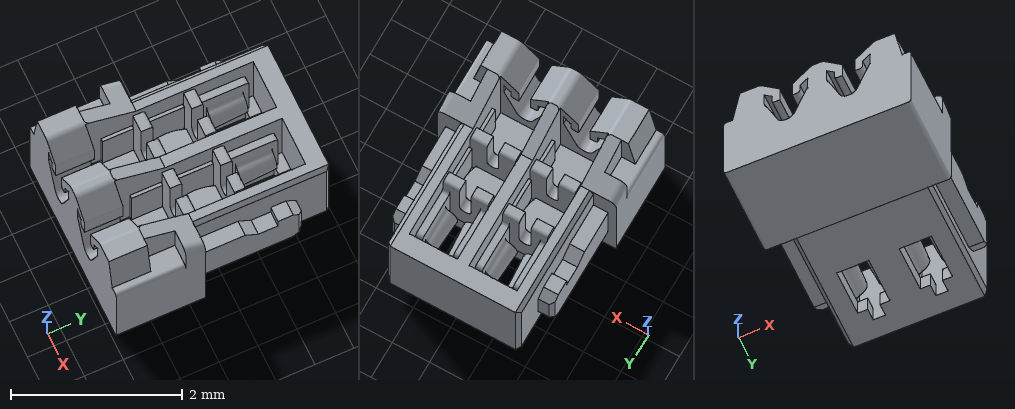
import cadquery as cq
import math


PITCH = 0.8
CONTACT_X = [-PITCH / 2, PITCH / 2]

HEAD_WIDTH = 2.4
HEAD_DEPTH = 1.148
HEAD_HEIGHT = 1.7
HOOD_DEPTH = 0.495
BOTTOM_ROUND = 0.05
WING_ROUND = 0.105
WING_FRONT = 0.893
SHOULDER_Z = 1.148
SHOULDER_ROUND = 0.05
WAIST_HALF = 0.9
FLANK_TOP_HALF = 0.992
FLANK_BOTTOM_HALF = 1.085

LENGTH = 2.9
NOSE_WIDTH = 1.784
NOSE_BOTTOM = 0.24
NOSE_TOP = 1.46
NOSE_CHAMFER = 0.052

RAIL_HALF = 1.09
RAIL_END = 2.453
RAIL_BOTTOM = 0.447
RAIL_TOP = 1.055
RAIL_CORNER_Y = 0.128
RAIL_CORNER_Z = 0.102
RAIL_END_CHAMFER = 0.052
NOTCH_BACK = 2.13
NOTCH_FLOOR_FRONT = 1.875
NOTCH_FRONT = 1.708
NOTCH_Z = 0.93

CAVITY_HALF = 0.322
CAVITY_END = 2.654
CAVITY_FLOOR = 0.5
LEDGE_HALF = 0.278
LEDGE_TOP = 1.102
LEDGE_FRONT = 0.695
PIN_HOLE_HALF = 0.205
PIN_HOLE_END = 2.497
PIN_SLOT_HALF = 0.078

FUNNEL_HALF = 0.33
FUNNEL_ROUND = 0.1
THROAT_HALF = 0.078
THROAT_ROUND = 0.025
THROAT_Z = HEAD_HEIGHT - (FUNNEL_HALF - THROAT_HALF)
LIP_HALF = 0.18
LIP_BOTTOM = 1.192
LIP_ROUND = 0.044
LIP_TOP = 1.343
ENTRY_HALF = 0.278
ENTRY_SIDE_Z = 1.235
ENTRY_BOTTOM = 0.69
ENTRY_RADIUS = 0.11

PLATE_HALF = 0.302
FRONT_PLATE_Y = 1.095
FRONT_PLATE_END = 1.253
FRONT_PLATE_TOP = 1.41
REAR_PLATE_Y = 1.75
REAR_PLATE_END = 1.9
REAR_PLATE_TOP = 1.45
PLATE_ROUND = 0.05
WIRE_SLOT_HALF = 0.078
WIRE_SLOT_BOTTOM = 0.855
BASE_THICKNESS = 0.1
BASE_END_HALF = 0.223
BASE_MIDDLE_HALF = 0.27
ARM_INNER_HALF = PIN_HOLE_HALF
ARM_END = 2.545
ARM_TOP = 1.2
ARM_END_ROUND = 0.058

BULGE_FRONT = 2.0
BULGE_END = 2.47
BULGE_Z = 0.755
BULGE_BEND_HALF = 0.162
BULGE_BEND_HEIGHT = 0.175
BULGE_FOOT_HEIGHT = 0.25
BULGE_FRONT_TIP = 0.044
BULGE_END_TIP = 0.072

TINY = 0.003


def block(x0, x1, y0, y1, z0, z1):
    return cq.Workplane("XY").box(x1 - x0, y1 - y0, z1 - z0, centered=False).translate((x0, y0, z0))


def on_both_sides(shape):
    return shape.union(shape.mirror("YZ"))


def along_y(outline, y0, y1):
    """Extrude a closed outline of the XZ plane from y0 to y1."""
    return outline.extrude(-(y1 - y0)).translate((0, y0, 0))


def edges_along_y(x, z):
    """Selector for the edges parallel to Y that pass through (x, z)."""
    return cq.selectors.BoxSelector((x - TINY, -LENGTH, z - TINY), (x + TINY, LENGTH, z + TINY))



def funnel(x):
    """Wire funnel with 45 degree sides, running down to the lips' lower edges."""
    outline = (
        cq.Workplane("XZ")
        .moveTo(x - FUNNEL_HALF, HEAD_HEIGHT)
        .lineTo(x - THROAT_HALF, THROAT_Z)
        .lineTo(x - THROAT_HALF, LIP_BOTTOM)
        .lineTo(x + THROAT_HALF, LIP_BOTTOM)
        .lineTo(x + THROAT_HALF, THROAT_Z)
        .lineTo(x + FUNNEL_HALF, HEAD_HEIGHT)
        .close()
    )
    return along_y(outline, 0, HEAD_DEPTH)


def wire_entry(x):
    """Pointed opening through the hood that leaves a hooked lip on each side of the throat."""
    centre_z = ENTRY_BOTTOM + ENTRY_RADIUS
    rise = ENTRY_SIDE_Z - centre_z
    angle = math.atan2(rise, ENTRY_HALF) - math.acos(ENTRY_RADIUS / math.hypot(ENTRY_HALF, rise))
    tangent_x = ENTRY_RADIUS * math.cos(angle)
    tangent_z = centre_z + ENTRY_RADIUS * math.sin(angle)
    hook_z = LIP_TOP + ENTRY_HALF - LIP_HALF
    outline = (
        cq.Workplane("XZ")
        .moveTo(x - tangent_x, tangent_z)
        .threePointArc((x, ENTRY_BOTTOM), (x + tangent_x, tangent_z))
        .lineTo(x + ENTRY_HALF, ENTRY_SIDE_Z)
        .lineTo(x + ENTRY_HALF, hook_z)
        .lineTo(x + LIP_HALF, LIP_TOP)
        .lineTo(x + LIP_HALF, LIP_BOTTOM)
        .lineTo(x - LIP_HALF, LIP_BOTTOM)
        .lineTo(x - LIP_HALF, LIP_TOP)
        .lineTo(x - ENTRY_HALF, hook_z)
        .lineTo(x - ENTRY_HALF, ENTRY_SIDE_Z)
        .close()
    )
    entry = along_y(outline, 0, HOOD_DEPTH)
    for side in (-1, 1):
        entry = entry.edges(edges_along_y(x + side * LIP_HALF, LIP_BOTTOM)).fillet(LIP_ROUND)
    return entry


def roof_slope():
    """Wedge removed behind the hood, from the head's full height down to the nose."""
    return (
        cq.Workplane("YZ")
        .moveTo(HOOD_DEPTH, HEAD_HEIGHT)
        .lineTo(HEAD_DEPTH, HEAD_HEIGHT)
        .lineTo(HEAD_DEPTH, NOSE_TOP)
        .close()
        .extrude(HEAD_WIDTH / 2, both=True)
    )


def shoulder_cut():
    """Material removed above one shoulder: a sloping flank beside the hood, a waist behind it."""
    side = HEAD_WIDTH / 2
    flank = (
        cq.Workplane("XZ")
        .moveTo(FLANK_TOP_HALF, HEAD_HEIGHT)
        .lineTo(FLANK_BOTTOM_HALF, SHOULDER_Z)
        .lineTo(side, SHOULDER_Z)
        .lineTo(side, HEAD_HEIGHT)
        .close()
    )
    waist = block(WAIST_HALF, side, HOOD_DEPTH, WING_FRONT, SHOULDER_Z, HEAD_HEIGHT)
    return along_y(flank, 0, HOOD_DEPTH).union(waist)


def make_head():
    side = HEAD_WIDTH / 2
    head = block(-side, side, 0, HEAD_DEPTH, 0, HEAD_HEIGHT)
    head = head.edges("|Y and <Z").fillet(BOTTOM_ROUND)
    for x in CONTACT_X:
        head = head.cut(funnel(x))
        for sign in (-1, 1):
            head = head.edges(edges_along_y(x + sign * FUNNEL_HALF, HEAD_HEIGHT)).fillet(FUNNEL_ROUND)
            head = head.edges(edges_along_y(x + sign * THROAT_HALF, THROAT_Z)).fillet(THROAT_ROUND)
        head = head.cut(wire_entry(x))
    head = head.cut(roof_slope())
    for sign in (-1, 1):
        outer_edge = cq.selectors.BoxSelector(
            (sign * side - TINY, HOOD_DEPTH, NOSE_TOP), (sign * side + TINY, HEAD_DEPTH - TINY, HEAD_HEIGHT)
        )
        head = head.edges(outer_edge).fillet(WING_ROUND)
    head = head.cut(on_both_sides(shoulder_cut()))
    for sign in (-1, 1):
        head = head.edges(edges_along_y(sign * side, SHOULDER_Z)).fillet(SHOULDER_ROUND)
    return head


def make_nose():
    side = NOSE_WIDTH / 2
    nose = block(-side, side, HEAD_DEPTH, LENGTH, NOSE_BOTTOM, NOSE_TOP)
    return nose.edges("|Y or (|Z and >Y)").chamfer(NOSE_CHAMFER)


def make_rails():
    """Latch rail with a ramped notch on each side, made as one bar through the nose."""
    rails = (
        cq.Workplane("YZ")
        .moveTo(HEAD_DEPTH, RAIL_BOTTOM)
        .lineTo(RAIL_END - RAIL_CORNER_Y, RAIL_BOTTOM)
        .lineTo(RAIL_END, RAIL_BOTTOM + RAIL_CORNER_Z)
        .lineTo(RAIL_END, RAIL_TOP - RAIL_CORNER_Z)
        .lineTo(RAIL_END - RAIL_CORNER_Y, RAIL_TOP)
        .lineTo(NOTCH_BACK, RAIL_TOP)
        .lineTo(NOTCH_BACK, NOTCH_Z)
        .lineTo(NOTCH_FLOOR_FRONT, NOTCH_Z)
        .lineTo(NOTCH_FRONT, RAIL_TOP)
        .lineTo(HEAD_DEPTH, RAIL_TOP)
        .close()
        .extrude(RAIL_HALF, both=True)
    )
    corner = (
        cq.Workplane("XY")
        .moveTo(RAIL_HALF, RAIL_END - RAIL_END_CHAMFER)
        .lineTo(RAIL_HALF, RAIL_END)
        .lineTo(RAIL_HALF - RAIL_END_CHAMFER, RAIL_END)
        .close()
        .extrude(HEAD_HEIGHT)
    )
    return rails.cut(on_both_sides(corner))


def cavity(x):
    """Contact cavity, open at the top, with retaining ledges and a pin opening in its floor."""
    room = block(-CAVITY_HALF, CAVITY_HALF, HOOD_DEPTH, CAVITY_END, CAVITY_FLOOR, HEAD_HEIGHT)
    for y0, y1 in ((LEDGE_FRONT, FRONT_PLATE_Y), (FRONT_PLATE_END, REAR_PLATE_Y)):
        ledge = block(LEDGE_HALF, CAVITY_HALF, y0, y1, CAVITY_FLOOR, LEDGE_TOP)
        room = room.cut(on_both_sides(ledge))
    pin_hole = block(-PIN_HOLE_HALF, PIN_HOLE_HALF, REAR_PLATE_END, PIN_HOLE_END, 0, CAVITY_FLOOR)
    pin_slot = block(-PIN_SLOT_HALF, PIN_SLOT_HALF, PIN_HOLE_END, CAVITY_END, 0, CAVITY_FLOOR)
    return room.union(pin_hole).union(pin_slot).translate((x, 0, 0))


def make_housing():
    housing = make_head().union(make_nose()).union(make_rails())
    for x in CONTACT_X:
        housing = housing.cut(cavity(x))
    return housing



def front_plate():
    plate = block(-PLATE_HALF, PLATE_HALF, FRONT_PLATE_Y, FRONT_PLATE_END, CAVITY_FLOOR, FRONT_PLATE_TOP)
    return plate.edges(">Y and >Z").fillet(PLATE_ROUND)


def rear_plate_and_arms():
    """Rear plate joined by concave rounds to the two arms that reach back beside the pin."""
    body = (
        cq.Workplane("YZ")
        .moveTo(REAR_PLATE_Y, CAVITY_FLOOR)
        .lineTo(ARM_END, CAVITY_FLOOR)
        .lineTo(ARM_END, ARM_TOP - ARM_END_ROUND)
        .radiusArc((ARM_END - ARM_END_ROUND, ARM_TOP), -ARM_END_ROUND)
        .lineTo(REAR_PLATE_END + PLATE_ROUND, ARM_TOP)
        .radiusArc((REAR_PLATE_END, ARM_TOP + PLATE_ROUND), PLATE_ROUND)
        .lineTo(REAR_PLATE_END, REAR_PLATE_TOP - PLATE_ROUND)
        .radiusArc((REAR_PLATE_END - PLATE_ROUND, REAR_PLATE_TOP), -PLATE_ROUND)
        .lineTo(REAR_PLATE_Y, REAR_PLATE_TOP)
        .close()
        .extrude(PLATE_HALF, both=True)
    )
    return body.cut(block(-ARM_INNER_HALF, ARM_INNER_HALF, REAR_PLATE_END, ARM_END, 0, HEAD_HEIGHT))


def wire_slot():
    """Round-bottomed slot that cuts into the wire, through both plates."""
    centre_z = WIRE_SLOT_BOTTOM + WIRE_SLOT_HALF
    outline = (
        cq.Workplane("XZ")
        .moveTo(-WIRE_SLOT_HALF, HEAD_HEIGHT)
        .lineTo(-WIRE_SLOT_HALF, centre_z)
        .threePointArc((0, WIRE_SLOT_BOTTOM), (WIRE_SLOT_HALF, centre_z))
        .lineTo(WIRE_SLOT_HALF, HEAD_HEIGHT)
        .close()
    )
    return along_y(outline, FRONT_PLATE_Y, REAR_PLATE_END)


def base_strip():
    """Barrel-shaped strip on the cavity floor that joins the two plates."""
    middle_y = (FRONT_PLATE_END + REAR_PLATE_Y) / 2
    return (
        cq.Workplane("XY", origin=(0, 0, CAVITY_FLOOR))
        .moveTo(-BASE_END_HALF, FRONT_PLATE_END)
        .lineTo(BASE_END_HALF, FRONT_PLATE_END)
        .threePointArc((BASE_MIDDLE_HALF, middle_y), (BASE_END_HALF, REAR_PLATE_Y))
        .lineTo(-BASE_END_HALF, REAR_PLATE_Y)
        .threePointArc((-BASE_MIDDLE_HALF, middle_y), (-BASE_END_HALF, FRONT_PLATE_END))
        .close()
        .extrude(BASE_THICKNESS)
    )


def bulge_section(y, tip):
    """Section of a bulge at y: its foot curves out of the arm, its crown reaches in to x = tip."""
    foot_depth = ARM_INNER_HALF - BULGE_BEND_HALF
    foot_height = BULGE_FOOT_HEIGHT - BULGE_BEND_HEIGHT
    foot_radius = (foot_depth**2 + foot_height**2) / (2 * foot_depth)
    return (
        cq.Workplane("XZ", origin=(0, y, 0))
        .moveTo(ARM_INNER_HALF, BULGE_Z + BULGE_FOOT_HEIGHT)
        .radiusArc((BULGE_BEND_HALF, BULGE_Z + BULGE_BEND_HEIGHT), foot_radius)
        .threePointArc((tip, BULGE_Z), (BULGE_BEND_HALF, BULGE_Z - BULGE_BEND_HEIGHT))
        .radiusArc((ARM_INNER_HALF, BULGE_Z - BULGE_FOOT_HEIGHT), foot_radius)
        .close()
        .wires()
        .val()
    )


def bulges():
    """Bulges that grip the pin between the arms, closing in slightly towards the front."""
    sections = [bulge_section(BULGE_FRONT, BULGE_FRONT_TIP), bulge_section(BULGE_END, BULGE_END_TIP)]
    return on_both_sides(cq.Workplane(cq.Solid.makeLoft(sections, True)))


def make_contact(x):
    contact = front_plate().union(rear_plate_and_arms()).cut(wire_slot())
    contact = contact.union(base_strip()).union(bulges())
    return contact.translate((x, 0, 0))


housing = make_housing()
contacts = [make_contact(x) for x in CONTACT_X]
result = cq.Compound.makeCompound([housing.val()] + [contact.val() for contact in contacts])